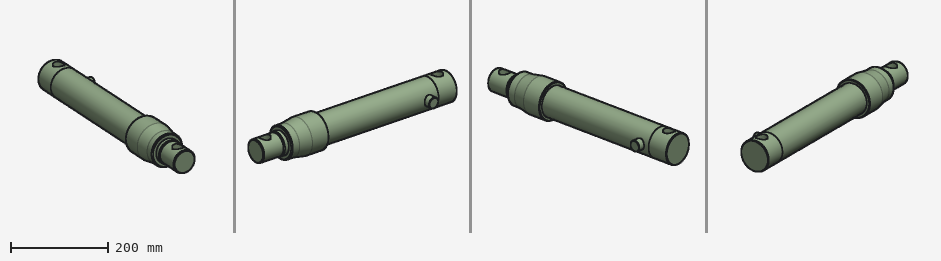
import cadquery as cq


TOTAL_LENGTH = 510.0
PIN_HOLE_DIAMETER = 25.0
PIN_HOLE_END_DISTANCE = 25.0

BARREL_DIAMETER = 70.0
CAP_LENGTH = 50.0
CAP_CHAMFER = 1.5

PORT_DIAMETER = 25.0
PORT_X = 75.0
PORT_TOP_Y = 50.0
PORT_CHAMFER = 1.0

GLAND_START = 349.0
GLAND_DIAMETER = 85.0
GLAND_BODY_LENGTH = 45.0
GLAND_CONE_LENGTH = 30.0
GLAND_NOSE_LENGTH = 20.0
GLAND_NOSE_DIAMETER = 75.0
GLAND_BACK_CHAMFER = 1.5
GLAND_NOSE_CHAMFER = 2.5
CONE_START = GLAND_START + GLAND_BODY_LENGTH
NOSE_START = CONE_START + GLAND_CONE_LENGTH
GLAND_END = NOSE_START + GLAND_NOSE_LENGTH
TUBE_END = CONE_START

ROD_DIAMETER = 55.0
ROD_EYE_DIAMETER = 52.0
ROD_SHOULDER_START = 454.0
ROD_SHOULDER_LENGTH = 3.0
ROD_END_CHAMFER = 2.0


def cylinder_along_x(start, end, diameter):
    return cq.Workplane("YZ", origin=(start, 0, 0)).circle(diameter / 2).extrude(end - start)


def revolve_about_x(half_profile):
    """Turn a closed list of (x, radius) points about the X axis."""
    return cq.Workplane("XY").polyline(half_profile).close().revolve(360, (0, 0, 0), (1, 0, 0))


def pin_hole(x):
    """Cross hole cutter along Z, long enough to pass through the barrel."""
    return (
        cq.Workplane("XY", origin=(x, 0, -BARREL_DIAMETER))
        .circle(PIN_HOLE_DIAMETER / 2)
        .extrude(2 * BARREL_DIAMETER)
    )


def make_end_cap():
    cap = cylinder_along_x(0, CAP_LENGTH, BARREL_DIAMETER).faces("<X").chamfer(CAP_CHAMFER)
    return cap.cut(pin_hole(PIN_HOLE_END_DISTANCE))


def make_tube():
    outside = cylinder_along_x(CAP_LENGTH, TUBE_END, BARREL_DIAMETER)
    return outside.cut(cylinder_along_x(CAP_LENGTH, TUBE_END, ROD_DIAMETER))


def make_port():
    boss = (
        cq.Workplane("XZ", origin=(PORT_X, 0, 0))
        .circle(PORT_DIAMETER / 2)
        .extrude(-PORT_TOP_Y)
        .faces(">Y")
        .chamfer(PORT_CHAMFER)
    )
    return boss.cut(cylinder_along_x(CAP_LENGTH, TUBE_END, BARREL_DIAMETER))


def make_gland():
    outer_radius = GLAND_DIAMETER / 2
    nose_radius = GLAND_NOSE_DIAMETER / 2
    tube_radius = BARREL_DIAMETER / 2
    rod_radius = ROD_DIAMETER / 2
    return revolve_about_x([
        (GLAND_START, tube_radius),
        (GLAND_START, outer_radius - GLAND_BACK_CHAMFER),
        (GLAND_START + GLAND_BACK_CHAMFER, outer_radius),
        (CONE_START, outer_radius),
        (NOSE_START, nose_radius),
        (GLAND_END - GLAND_NOSE_CHAMFER, nose_radius),
        (GLAND_END, nose_radius - GLAND_NOSE_CHAMFER),
        (GLAND_END, rod_radius),
        (TUBE_END, rod_radius),
        (TUBE_END, tube_radius),
    ])


def make_rod():
    rod_radius = ROD_DIAMETER / 2
    eye_radius = ROD_EYE_DIAMETER / 2
    rod = revolve_about_x([
        (CAP_LENGTH, 0),
        (CAP_LENGTH, rod_radius),
        (ROD_SHOULDER_START, rod_radius),
        (ROD_SHOULDER_START + ROD_SHOULDER_LENGTH, eye_radius),
        (TOTAL_LENGTH - ROD_END_CHAMFER, eye_radius),
        (TOTAL_LENGTH, eye_radius - ROD_END_CHAMFER),
        (TOTAL_LENGTH, 0),
    ])
    return rod.cut(pin_hole(TOTAL_LENGTH - PIN_HOLE_END_DISTANCE))


end_cap = make_end_cap()
tube = make_tube()
port = make_port()
gland = make_gland()
rod = make_rod()

result = cq.Compound.makeCompound([
    end_cap.val(),
    tube.val(),
    port.val(),
    gland.val(),
    rod.val(),
])